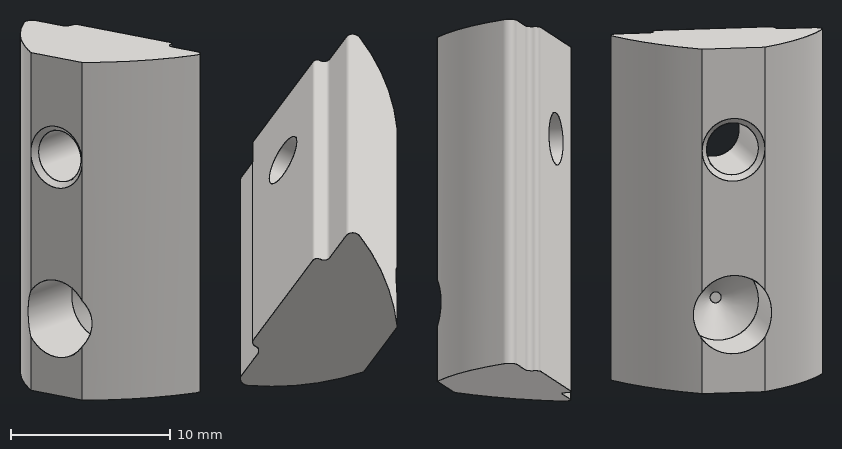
import cadquery as cq
import math

length = 22.0
width = 13.5
depth = 7.2

front_flat_width = 4.0
flank_radius = 15.4
flank_end_y = 5.76
rail_width = 7.79
rail_height = 0.8
ear_radius = 0.48
rail_corner_radius = 0.35
rail_root_radius = 0.42

through_diameter = 3.3
through_chamfer_diameter = front_flat_width
through_z = length - 6.5

bore_diameter = 5.0
bore_depth = 5.0
bore_tip_diameter = 0.7
bore_tip_angle = 118.0
bore_z = bore_diameter


def make_body():
    half_width = width / 2
    half_flat = front_flat_width / 2
    half_rail = rail_width / 2
    ear_y = depth - rail_height
    body = (
        cq.Workplane("XY")
        .moveTo(-half_flat, 0)
        .lineTo(half_flat, 0)
        .radiusArc((half_width, flank_end_y), -flank_radius)
        .lineTo(half_width, ear_y)
        .lineTo(half_rail, ear_y)
        .lineTo(half_rail, depth)
        .lineTo(-half_rail, depth)
        .lineTo(-half_rail, ear_y)
        .lineTo(-half_width, ear_y)
        .lineTo(-half_width, flank_end_y)
        .radiusArc((-half_flat, 0), -flank_radius)
        .close()
        .extrude(length)
    )
    rounded_corners = [
        (half_width, flank_end_y, ear_radius),
        (half_width, ear_y, ear_radius),
        (half_rail, ear_y, rail_root_radius),
        (half_rail, depth, rail_corner_radius),
    ]
    for x, y, radius in rounded_corners:
        for side in (-1, 1):
            corner = (side * x, y, length / 2)
            edge = cq.selectors.NearestToPointSelector(corner)
            body = body.edges("|Z").edges(edge).fillet(radius)
    return body


def revolve_about_hole_axis(radius_and_y, z):
    """Revolve a half profile, given as (radius, y) points, about the Y direction at height z."""
    return (
        cq.Workplane("XY", origin=(0, 0, z))
        .polyline(radius_and_y)
        .close()
        .revolve(360, (0, 0, 0), (0, 1, 0))
    )


def make_through_hole():
    chamfer_radius = through_chamfer_diameter / 2
    radius = through_diameter / 2
    chamfer_depth = chamfer_radius - radius
    profile = [(0, 0), (chamfer_radius, 0), (radius, chamfer_depth), (radius, depth), (0, depth)]
    return revolve_about_hole_axis(profile, through_z)


def make_blind_bore():
    radius = bore_diameter / 2
    tip_radius = bore_tip_diameter / 2
    cone_depth = (radius - tip_radius) / math.tan(math.radians(bore_tip_angle / 2))
    tip_y = bore_depth + cone_depth
    profile = [(0, 0), (radius, 0), (radius, bore_depth), (tip_radius, tip_y), (0, tip_y)]
    return revolve_about_hole_axis(profile, bore_z)


result = make_body().cut(make_through_hole()).cut(make_blind_bore())